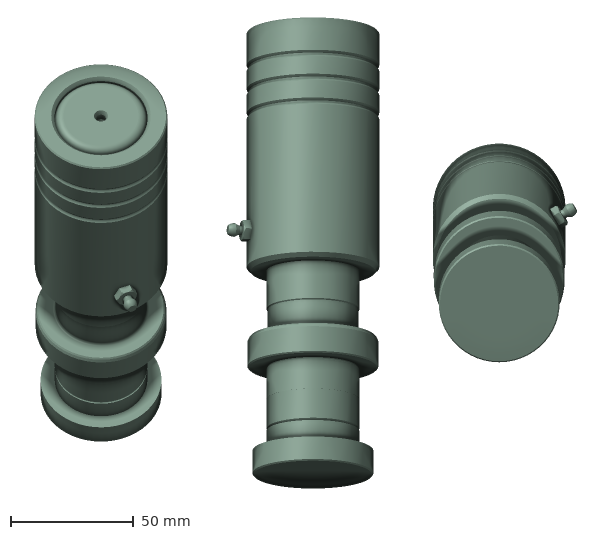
import cadquery as cq
import math


TOTAL_HEIGHT = 185.0

SLEEVE_DIAMETER = 54.0
SLEEVE_LENGTH = 99.9
SLEEVE_TOP_CHAMFER = 0.5
SLEEVE_BOTTOM_CHAMFER = 1.7
BORE_CHAMFER = 1.3
GROOVE_COUNT = 3
GROOVE_PITCH = 10.0
FIRST_GROOVE_DEPTH = 15.0
GROOVE_MOUTH_WIDTH = 2.5
GROOVE_FLOOR_WIDTH = 0.7
GROOVE_DEPTH = 1.0

PILLAR_DIAMETER = 38.0
RELIEF_DIAMETER = 37.0
FOOT_DIAMETER = 37.7
PILLAR_TOP_FILLET = 3.7
STEP_CHAMFER = (PILLAR_DIAMETER - RELIEF_DIAMETER) / 2
RELIEF_TOP_Z = 69.4
COLLAR_DIAMETER = 53.3
COLLAR_BOTTOM_Z = 44.8
COLLAR_HEIGHT = 12.5
COLLAR_TOP_CHAMFER = 0.5
COLLAR_TAPER_WIDTH = 0.5
COLLAR_TAPER_HEIGHT = 1.1
COLLAR_BOTTOM_CHAMFER = 0.5
COLLAR_ROOT_FILLET = 1.1
UNDER_COLLAR_TAPER = 1.0
FOOT_TOP_Z = 31.5
FOOT_CHAMFER = 1.0

CENTRE_MOUTH_DIAMETER = 5.7
CENTRE_DIAMETER = 3.9
CENTRE_COUNTERSINK_DEPTH = 1.7
CENTRE_DEPTH = 4.6
CENTRE_POINT_ANGLE = 120.0

CAP_FLANGE_DIAMETER = 49.2
CAP_FLANGE_HEIGHT = 10.0
CAP_FLANGE_CHAMFER = 0.5
CAP_NECK_DIAMETER = 37.7
CAP_HEIGHT = 18.3

NIPPLE_Z = 100.3
NIPPLE_ANGLE = -15.0
HEX_ACROSS_FLATS = 8.0
HEX_END = 30.2
HEX_CHAMFER_DEPTH = 0.7
NECK_RADIUS = 1.8
NECK_END = 31.3
HEAD_RADIUS = 2.8
HEAD_START = 33.1
HEAD_DOME_MIDDLE_RADIUS = 2.5
HEAD_DOME_MIDDLE = 34.6
TIP_RADIUS = 1.8
TIP_END = 35.9
STEM_DIAMETER = 5.0
STEM_LENGTH = 4.6

SLEEVE_RADIUS = SLEEVE_DIAMETER / 2
PILLAR_RADIUS = PILLAR_DIAMETER / 2
SLEEVE_BOTTOM_Z = TOTAL_HEIGHT - SLEEVE_LENGTH
COLLAR_TOP_Z = COLLAR_BOTTOM_Z + COLLAR_HEIGHT


def cylinder(diameter, bottom, top):
    """Cylinder on the Z axis between two heights."""
    return cq.Workplane("XY").workplane(offset=bottom).circle(diameter / 2).extrude(top - bottom)


def revolve_profile(points):
    """Solid of revolution about Z from (radius, z) points."""
    return cq.Workplane("XZ").polyline(points).close().revolve(360, (0, 0), (0, 1))


def place_on_nipple_axis(shape):
    """Turn a shape built along Z so that Z becomes the nipple axis."""
    return (
        shape.rotate((0, 0, 0), (0, 1, 0), 90)
        .rotate((0, 0, 0), (0, 0, 1), NIPPLE_ANGLE)
        .translate((0, 0, NIPPLE_Z))
    )


def nipple_stem():
    """Stem that fills the blind hole in the sleeve wall."""
    return cylinder(STEM_DIAMETER, SLEEVE_RADIUS - STEM_LENGTH, SLEEVE_RADIUS)


def groove_ring(middle_z):
    """Ring of material removed by one tapered sleeve groove."""
    floor_radius = SLEEVE_RADIUS - GROOVE_DEPTH
    clear_radius = SLEEVE_RADIUS + GROOVE_DEPTH
    half_mouth = GROOVE_MOUTH_WIDTH / 2
    half_floor = GROOVE_FLOOR_WIDTH / 2
    return revolve_profile([
        (floor_radius, middle_z - half_floor),
        (SLEEVE_RADIUS, middle_z - half_mouth),
        (clear_radius, middle_z - half_mouth),
        (clear_radius, middle_z + half_mouth),
        (SLEEVE_RADIUS, middle_z + half_mouth),
        (floor_radius, middle_z + half_floor),
    ])


def make_sleeve():
    sleeve = cylinder(SLEEVE_DIAMETER, SLEEVE_BOTTOM_Z, TOTAL_HEIGHT)
    sleeve = sleeve.faces(">Z").chamfer(SLEEVE_TOP_CHAMFER)
    sleeve = sleeve.faces("<Z").chamfer(SLEEVE_BOTTOM_CHAMFER)
    sleeve = sleeve.cut(cylinder(PILLAR_DIAMETER, SLEEVE_BOTTOM_Z, TOTAL_HEIGHT))
    mouth_edge = cq.selectors.RadiusNthSelector(0)
    sleeve = sleeve.faces(">Z").edges(mouth_edge).chamfer(BORE_CHAMFER)
    for index in range(GROOVE_COUNT):
        depth = FIRST_GROOVE_DEPTH + index * GROOVE_PITCH
        sleeve = sleeve.cut(groove_ring(TOTAL_HEIGHT - depth))
    hole = nipple_stem().union(cylinder(STEM_DIAMETER, SLEEVE_RADIUS, HEX_END))
    return sleeve.cut(place_on_nipple_axis(hole))


def centre_hole():
    """Countersunk blind hole with a drill point."""
    mouth_radius = CENTRE_MOUTH_DIAMETER / 2
    radius = CENTRE_DIAMETER / 2
    point_depth = radius / math.tan(math.radians(CENTRE_POINT_ANGLE / 2))
    return revolve_profile([
        (0, TOTAL_HEIGHT),
        (mouth_radius, TOTAL_HEIGHT),
        (radius, TOTAL_HEIGHT - CENTRE_COUNTERSINK_DEPTH),
        (radius, TOTAL_HEIGHT - CENTRE_DEPTH),
        (0, TOTAL_HEIGHT - CENTRE_DEPTH - point_depth),
    ])


def make_pillar():
    relief_radius = RELIEF_DIAMETER / 2
    collar_radius = COLLAR_DIAMETER / 2
    foot_radius = FOOT_DIAMETER / 2
    chamfer_radius = collar_radius - COLLAR_TAPER_WIDTH
    chamfer_z = COLLAR_TOP_Z - COLLAR_TOP_CHAMFER
    root_inset = COLLAR_ROOT_FILLET * (1 - math.sqrt(0.5))
    profile = (
        cq.Workplane("XZ")
        .moveTo(0, CAP_HEIGHT)
        .lineTo(foot_radius - FOOT_CHAMFER, CAP_HEIGHT)
        .lineTo(foot_radius, CAP_HEIGHT + FOOT_CHAMFER)
        .lineTo(foot_radius, FOOT_TOP_Z)
        .lineTo(PILLAR_RADIUS, FOOT_TOP_Z)
        .lineTo(PILLAR_RADIUS, COLLAR_BOTTOM_Z - UNDER_COLLAR_TAPER)
        .lineTo(relief_radius, COLLAR_BOTTOM_Z)
        .lineTo(collar_radius - COLLAR_BOTTOM_CHAMFER, COLLAR_BOTTOM_Z)
        .lineTo(collar_radius, COLLAR_BOTTOM_Z + COLLAR_BOTTOM_CHAMFER)
        .lineTo(collar_radius, chamfer_z - COLLAR_TAPER_HEIGHT)
        .lineTo(chamfer_radius, chamfer_z)
        .lineTo(chamfer_radius - COLLAR_TOP_CHAMFER, COLLAR_TOP_Z)
        .lineTo(relief_radius + COLLAR_ROOT_FILLET, COLLAR_TOP_Z)
        .threePointArc(
            (relief_radius + root_inset, COLLAR_TOP_Z + root_inset),
            (relief_radius, COLLAR_TOP_Z + COLLAR_ROOT_FILLET),
        )
        .lineTo(relief_radius, RELIEF_TOP_Z - STEP_CHAMFER)
        .lineTo(PILLAR_RADIUS, RELIEF_TOP_Z)
        .lineTo(PILLAR_RADIUS, TOTAL_HEIGHT)
        .lineTo(0, TOTAL_HEIGHT)
        .close()
    )
    pillar = profile.revolve(360, (0, 0), (0, 1))
    pillar = pillar.faces(">Z").edges().fillet(PILLAR_TOP_FILLET)
    return pillar.cut(centre_hole())


def make_end_cap():
    flange = cylinder(CAP_FLANGE_DIAMETER, 0, CAP_FLANGE_HEIGHT).faces("<Z").chamfer(CAP_FLANGE_CHAMFER)
    neck = cylinder(CAP_NECK_DIAMETER, CAP_FLANGE_HEIGHT, CAP_HEIGHT)
    return flange.union(neck)


def nipple_hexagon():
    """Hexagon with flats facing up and down and its outer corners turned off."""
    corner_radius = HEX_ACROSS_FLATS / math.sqrt(3)
    flat_radius = HEX_ACROSS_FLATS / 2
    hexagon = (
        cq.Workplane("XY")
        .workplane(offset=SLEEVE_RADIUS)
        .polygon(6, 2 * corner_radius)
        .extrude(HEX_END - SLEEVE_RADIUS)
        .rotate((0, 0, 0), (0, 0, 1), 90)
    )
    turned_envelope = revolve_profile([
        (0, SLEEVE_RADIUS),
        (corner_radius, SLEEVE_RADIUS),
        (corner_radius, HEX_END - HEX_CHAMFER_DEPTH),
        (flat_radius, HEX_END),
        (0, HEX_END),
    ])
    return hexagon.intersect(turned_envelope)


def make_grease_nipple():
    head = (
        cq.Workplane("XZ")
        .moveTo(0, HEX_END)
        .lineTo(NECK_RADIUS, HEX_END)
        .lineTo(NECK_RADIUS, NECK_END)
        .lineTo(HEAD_RADIUS, HEAD_START)
        .threePointArc((HEAD_DOME_MIDDLE_RADIUS, HEAD_DOME_MIDDLE), (TIP_RADIUS, TIP_END))
        .lineTo(0, TIP_END)
        .close()
        .revolve(360, (0, 0), (0, 1))
    )
    return place_on_nipple_axis(nipple_stem().union(nipple_hexagon()).union(head))


sleeve = make_sleeve()
pillar = make_pillar()
end_cap = make_end_cap()
grease_nipple = make_grease_nipple()

result = cq.Compound.makeCompound([sleeve.val(), pillar.val(), end_cap.val(), grease_nipple.val()])